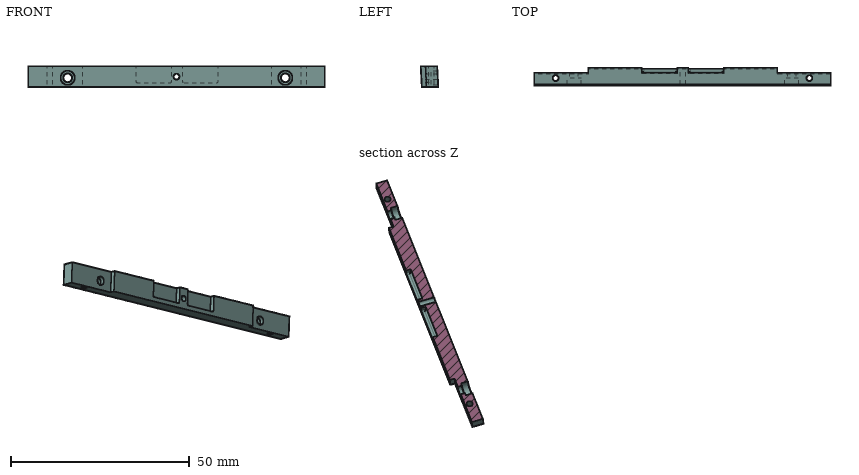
import cadquery as cq
import math

length = 83.0
depth = 5.0
height = 5.9
lean_angle = 3.0
lean = height * math.tan(math.radians(lean_angle))
front_bottom = -depth / 2
front_mid = front_bottom + lean / 2

bar_thickness = 3.3
pad_rise = depth - lean - bar_thickness
pad_length = 52.95
pad_center = 0.1
pad_left = pad_center - pad_length / 2
pad_right = pad_center + pad_length / 2
pad_outer = bar_thickness + pad_rise

notch_width = 10.0
notch_spacing = 13.0
notch_centers = (pad_center - notch_spacing / 2, pad_center + notch_spacing / 2)
notch_height = 4.65
notch_floor_fillet = 0.5

screw_spacing = 60.9
screw_z = -0.3
screw_diameter = 2.4
counterbore_diameter = 4.0
counterbore_depth = 2.0
counterbore_floor = front_mid + counterbore_depth
small_diameter = 1.6
pin_spacing = 71.05
pin_y = -0.4


def leaning_block(x_start, x_end, inner_offset, outer_offset, z_bottom=-height / 2):
    """Block between two planes parallel to the leaning front face."""
    def front_y(z):
        return front_mid + z * lean / height

    z_top = height / 2
    outline = [
        (front_y(z_bottom) + inner_offset, z_bottom),
        (front_y(z_bottom) + outer_offset, z_bottom),
        (front_y(z_top) + outer_offset, z_top),
        (front_y(z_top) + inner_offset, z_top),
    ]
    return (
        cq.Workplane("YZ", origin=(x_start, 0, 0))
        .polyline(outline)
        .close()
        .extrude(x_end - x_start)
    )


def cross_hole(x, z, diameter, y_end=depth):
    """Hole along Y, from ahead of the front face to y_end."""
    y_start = -depth
    return (
        cq.Workplane("XZ", origin=(x, y_start, z))
        .circle(diameter / 2)
        .extrude(y_start - y_end)
    )


result = leaning_block(-length / 2, length / 2, 0, bar_thickness)
result = result.union(leaning_block(pad_left, pad_right, 0, pad_outer))

for x in notch_centers:
    notch = leaning_block(
        x - notch_width / 2,
        x + notch_width / 2,
        bar_thickness,
        pad_outer + depth,
        height / 2 - notch_height,
    )
    notch_floor_edges = notch.faces("<Z").edges("<X or >X or <Y")
    result = result.cut(notch_floor_edges.fillet(notch_floor_fillet))

for x in (-screw_spacing / 2, screw_spacing / 2):
    result = result.cut(cross_hole(x, screw_z, screw_diameter))
    result = result.cut(cross_hole(x, screw_z, counterbore_diameter, counterbore_floor))

result = result.cut(cross_hole(0, 0, small_diameter))

for x in (-pin_spacing / 2, pin_spacing / 2):
    pin_hole = (
        cq.Workplane("XY", origin=(x, pin_y, -height / 2))
        .circle(small_diameter / 2)
        .extrude(height)
    )
    result = result.cut(pin_hole)